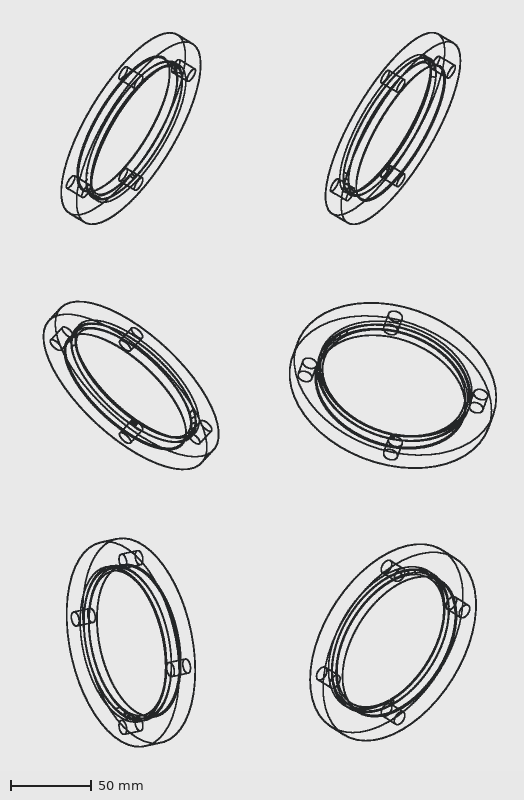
import cadquery as cq

outer_diameter = 130.0
thickness = 12.0
bore_diameter = 95.5
front_chamfer = 0.6
back_chamfer = 1.5

hole_count = 4
hole_diameter = 9.0
bolt_circle_diameter = 110.0

groove_diameter = 98.5
wire_diameter = 3.4
wire_sweep = 358.0
wire_center_radius = (groove_diameter - wire_diameter) / 2
wire_center_x = 8.5


def wire_torus(sweep):
    """Round wire bent about the X axis, starting at the bottom and going through +Y."""
    return (
        cq.Workplane("XZ")
        .center(wire_center_x, -wire_center_radius)
        .circle(wire_diameter / 2)
        .revolve(sweep, (0, wire_center_radius, 0), (1, wire_center_radius, 0))
    )


def make_flange():
    """Flat ring with a chamfered bore, bolt holes and a groove for the wire ring."""
    ring = (
        cq.Workplane("YZ")
        .circle(outer_diameter / 2)
        .circle(bore_diameter / 2)
        .extrude(thickness)
    )
    bore_edge = cq.selectors.RadiusNthSelector(0)
    ring = ring.faces("<X").edges(bore_edge).chamfer(front_chamfer)
    ring = ring.faces(">X").edges(bore_edge).chamfer(back_chamfer)
    bolt_holes = (
        cq.Workplane("YZ")
        .polarArray(bolt_circle_diameter / 2, 0, 360, hole_count)
        .circle(hole_diameter / 2)
        .extrude(thickness)
    )
    return ring.cut(bolt_holes).cut(wire_torus(360))


flange = make_flange()
snap_ring = wire_torus(wire_sweep)

result = cq.Compound.makeCompound([flange.val(), snap_ring.val()])